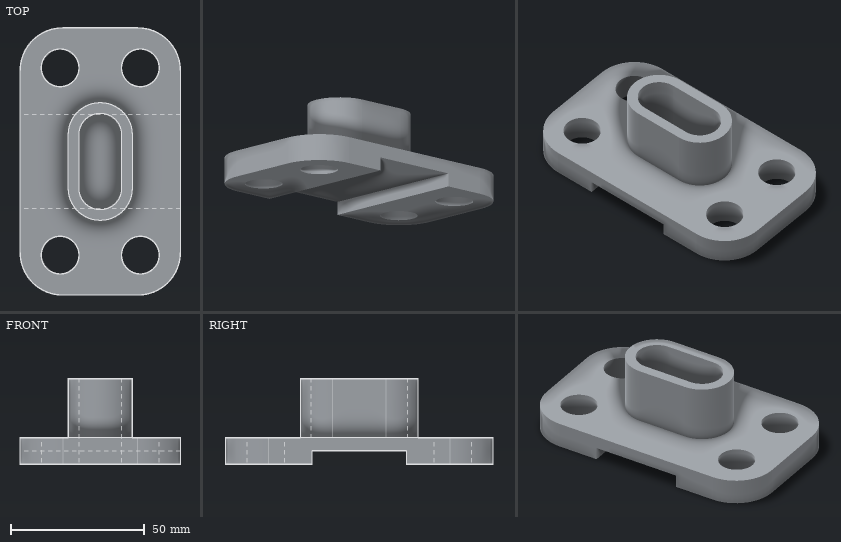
import cadquery as cq

plate_width = 60
plate_length = 100
plate_thickness = 10
corner_radius = 16

hole_diameter = 14
hole_spacing_x = 30
hole_spacing_y = 70

total_height = 32
boss_width = 24
boss_length = 44
boss_wall = 4
pocket_floor_z = plate_thickness

channel_width = 35.2
channel_depth = 5


def obround(width, length, bottom_z, top_z):
    """Upright prism with rounded ends, its long side along Y."""
    return (
        cq.Workplane("XY")
        .workplane(offset=bottom_z)
        .slot2D(length, width, angle=90)
        .extrude(top_z - bottom_z)
    )


def make_plate():
    """Rounded plate with its mounting holes and underside channel."""
    plate = (
        cq.Workplane("XY")
        .rect(plate_width, plate_length)
        .extrude(plate_thickness)
        .edges("|Z")
        .fillet(corner_radius)
    )
    holes = (
        cq.Workplane("XY")
        .rect(hole_spacing_x, hole_spacing_y, forConstruction=True)
        .vertices()
        .circle(hole_diameter / 2)
        .extrude(plate_thickness)
    )
    channel = (
        cq.Workplane("XY")
        .rect(plate_width, channel_width)
        .extrude(channel_depth)
    )
    return plate.cut(holes).cut(channel)


boss = obround(boss_width, boss_length, plate_thickness, total_height)
pocket = obround(
    boss_width - 2 * boss_wall,
    boss_length - 2 * boss_wall,
    pocket_floor_z,
    total_height,
)

result = make_plate().union(boss).cut(pocket)